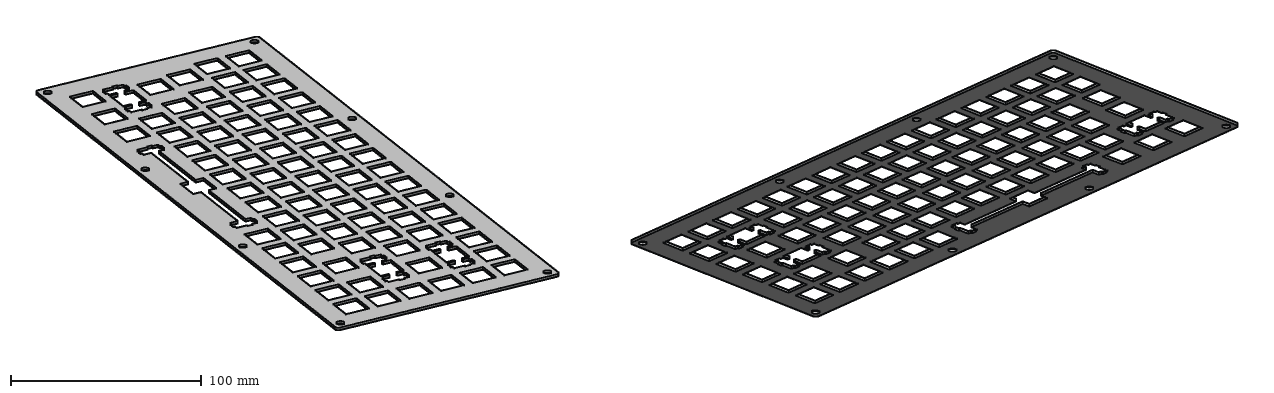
import cadquery as cq

plate_width = 324.8
plate_depth = 134.0
plate_thickness = 1.6
corner_radius = 2.0

keys_in_full_row = 16
full_row_span = 285.8
pitch = full_row_span / (keys_in_full_row - 1)
switch_size = 14.0

key_rows = [
    [1] * keys_in_full_row,
    [1] * 13 + [2, 1],
    [1.5] + [1] * 12 + [1.5, 1],
    [1.75] + [1] * 11 + [2.25, 1],
    [2.25] + [1] * 10 + [1.75, 1, 1],
    [1.25] * 3 + [6.25] + [1] * 6,
]

stabilized_key_width = 2
space_bar_key_width = 6.25
stabilizer_offset = 0.625 * pitch
space_bar_stabilizer_offset = 2.625 * pitch

housing_width = 6.8
housing_top = 5.5
housing_bottom = -6.8
clip_slot_width = 3.2
clip_slot_top = 6.5
clip_slot_bottom = -7.8
notch_reach = 4.2
notch_bottom = -0.5
wire_slot_half_height = 2.3
notch_top = wire_slot_half_height

hole_diameter = 4.2
hole_inset = 5.0
holes_per_edge = 4


def cutter(x_min, x_max, y_min, y_max):
    """Rectangular through-cutter between the given limits."""
    return (
        cq.Workplane("XY")
        .rect(x_max - x_min, y_max - y_min)
        .extrude(plate_thickness)
        .translate(((x_min + x_max) / 2, (y_min + y_max) / 2, 0))
    )


def switch_cutter():
    half = switch_size / 2
    return cutter(-half, half, -half, half)


def stabilizer_cutter(offset):
    """Housing opening on the +X side of a switch, joined to it by the wire slot."""
    half_housing = housing_width / 2
    half_clip = clip_slot_width / 2
    housing = cutter(offset - half_housing, offset + half_housing, housing_bottom, housing_top)
    clip_slot = cutter(offset - half_clip, offset + half_clip, clip_slot_bottom, clip_slot_top)
    notch = cutter(offset, offset + notch_reach, notch_bottom, notch_top)
    wire_slot = cutter(0, offset, -wire_slot_half_height, wire_slot_half_height)
    return housing.union(clip_slot).union(notch).union(wire_slot)


def key_cutter(key_width):
    """Opening for one key, centred on its switch."""
    opening = switch_cutter()
    if key_width >= stabilized_key_width:
        is_space_bar = key_width == space_bar_key_width
        offset = space_bar_stabilizer_offset if is_space_bar else stabilizer_offset
        stabilizer = stabilizer_cutter(offset)
        opening = opening.union(stabilizer).union(stabilizer.mirror("YZ"))
    return opening


def key_cutters():
    """Openings for all keys, placed row by row from the left end."""
    cutters = []
    for row, key_widths in enumerate(key_rows):
        y = ((len(key_rows) - 1) / 2 - row) * pitch
        left = -keys_in_full_row / 2 * pitch
        for key_width in key_widths:
            x = left + key_width * pitch / 2
            cutters.append(key_cutter(key_width).translate((x, y, 0)).val())
            left += key_width * pitch
    return cutters


def hole_positions():
    x_end = plate_width / 2 - hole_inset
    y_edge = plate_depth / 2 - hole_inset
    spacing = 2 * x_end / (holes_per_edge - 1)
    return [(-x_end + i * spacing, y) for i in range(holes_per_edge) for y in (-y_edge, y_edge)]


plate = (
    cq.Workplane("XY")
    .rect(plate_width, plate_depth)
    .extrude(plate_thickness)
    .edges("|Z")
    .fillet(corner_radius)
)
holes = (
    cq.Workplane("XY")
    .pushPoints(hole_positions())
    .circle(hole_diameter / 2)
    .extrude(plate_thickness)
)

result = plate.cut(holes).cut(cq.Compound.makeCompound(key_cutters()))